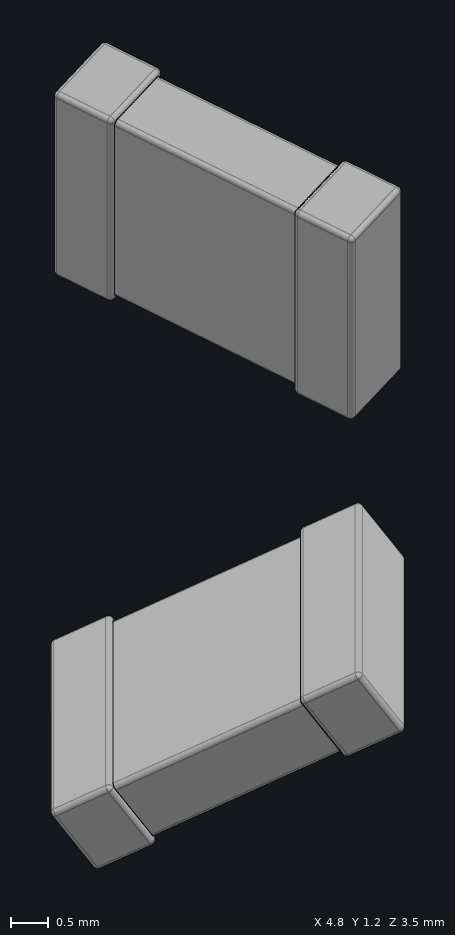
import cadquery as cq

length = 4.8
depth = 1.2
height = 3.5

cap_width = 0.95
plating = 0.07

edge_radius = plating

core_length = length - 2 * plating
core_depth = depth - 2 * plating
core_height = height - 2 * plating


def make_core():
    """Long block with its four lengthwise edges rounded; its ends sit in the caps."""
    block = cq.Workplane("XY").box(core_length, core_depth, core_height)
    return block.edges("|X").fillet(edge_radius).solids()


def make_end_cap(side, core):
    """Rounded cap with a pocket that matches the core; side is -1 or +1 along X."""
    cap_center = side * (length - cap_width) / 2
    block = cq.Workplane("XY").box(cap_width, depth, height).edges().fillet(edge_radius)
    return block.translate((cap_center, 0, 0)).cut(core).solids()


core = make_core()
end_caps = [make_end_cap(side, core) for side in (-1, 1)]

result = cq.Compound.makeCompound([core.val(), *[cap.val() for cap in end_caps]])